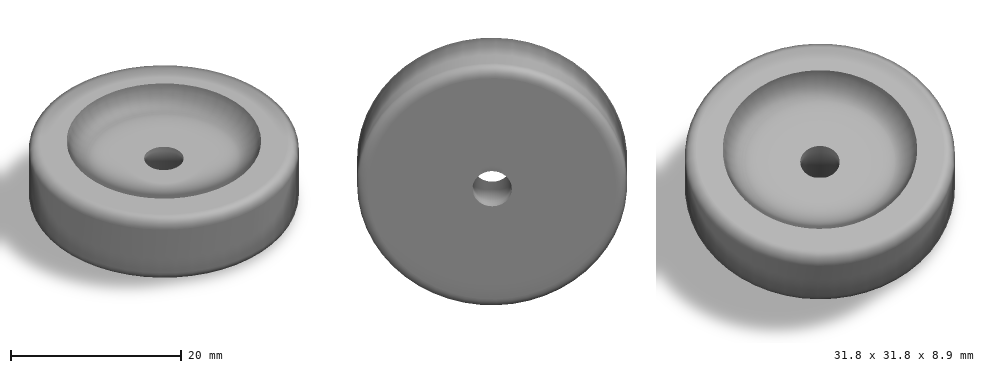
import cadquery as cq

outer_diameter = 31.75
height = 8.9
rim_fillet = 1.27

recess_diameter = 22.85
recess_depth = 2.55
recess_wall_radius = recess_depth

bore_diameter = 4.65


def make_disc():
    """Plain disc with both outer edges rounded."""
    disc = cq.Workplane("XY").circle(outer_diameter / 2).extrude(height)
    return disc.edges().fillet(rim_fillet)


def make_recess():
    """Dish-shaped cutter: a flat floor joined to the top face by a quarter-round wall."""
    mouth_radius = recess_diameter / 2
    floor_radius = mouth_radius - recess_wall_radius
    floor_height = height - recess_depth
    profile = (
        cq.Workplane("XZ")
        .moveTo(0, floor_height)
        .lineTo(floor_radius, floor_height)
        .radiusArc((mouth_radius, height), -recess_wall_radius)
        .lineTo(0, height)
        .close()
    )
    return profile.revolve(360, (0, 0, 0), (0, 1, 0))


def make_bore():
    """Cylinder cutter through the full height."""
    return cq.Workplane("XY").circle(bore_diameter / 2).extrude(height)


result = make_disc().cut(make_recess()).cut(make_bore())